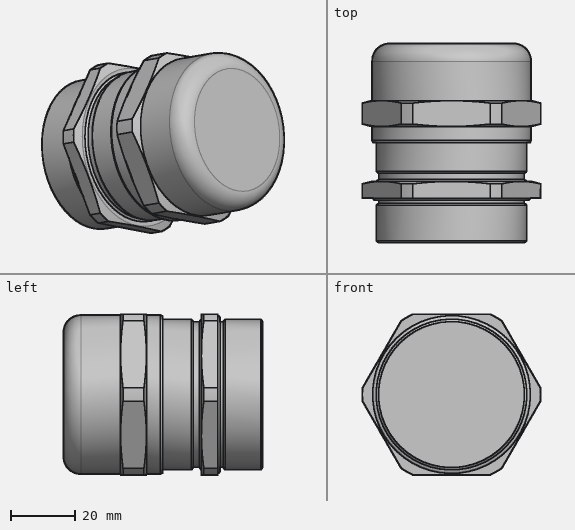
import cadquery as cq
import math


total_length = 61.96
across_flats = 50.0
hex_corner_diameter = 55.48
hex_chamfer_angle = 15.0
hex_face_diameter = 49.5
hex_sides = 6

thread_diameter = 46.85
neck_diameter = 45.33
thread_chamfer_length = 0.6
front_thread_length = 12.3
groove_start = 19.7
groove_end = 21.55

nut_start = 13.9
nut_end = 19.1
ring_outer_diameter = 49.1
ring_protrusion = 0.7

cap_diameter = 49.5
cap_start = 31.1
cap_chamfer_length = 0.7
cap_chamfer_depth = 0.35
cap_hex_start = 36.1
cap_hex_end = 44.2
dome_radius = 5.5


def cylinder(diameter, start, end):
    """Cylinder along the part axis between two Y positions."""
    disc = cq.Workplane("XZ", origin=(0, start, 0)).circle(diameter / 2)
    return disc.extrude(start - end)


def revolve(profile):
    """Solid of revolution about Y from a closed (radius, Y) profile."""
    return cq.Workplane("XY").polyline(profile).close().revolve(360, (0, 0, 0), (0, 1, 0))


def thread_section(start, end):
    """Thread-diameter cylinder whose two ends taper down to the neck diameter."""
    neck_radius = neck_diameter / 2
    thread_radius = thread_diameter / 2
    profile = [
        (0, start),
        (neck_radius, start),
        (thread_radius, start + thread_chamfer_length),
        (thread_radius, end - thread_chamfer_length),
        (neck_radius, end),
        (0, end),
    ]
    return revolve(profile)


def hexagon(start, end, chamfer_front):
    """Hexagon with turned corners, chamfered at the back and optionally at the front."""
    face_radius = hex_face_diameter / 2
    corner_radius = hex_corner_diameter / 2
    chamfer_length = (corner_radius - face_radius) * math.tan(math.radians(hex_chamfer_angle))

    point_diameter = across_flats / math.cos(math.pi / hex_sides)
    prism = cq.Workplane("XZ", origin=(0, start, 0)).polygon(hex_sides, point_diameter).extrude(start - end)

    profile = [(0, start)]
    if chamfer_front:
        profile += [(face_radius, start), (corner_radius, start + chamfer_length)]
    else:
        profile += [(corner_radius, start)]
    profile += [(corner_radius, end - chamfer_length), (face_radius, end), (0, end)]
    return prism.intersect(revolve(profile))


def make_body():
    """Threaded core: front thread, recessed necks and the section entering the cap."""
    core = cylinder(neck_diameter, 0, cap_start)
    front_thread = thread_section(0, front_thread_length)
    nut_seat = thread_section(groove_start - (nut_end - nut_start), groove_start)
    rear_section = thread_section(groove_end, cap_start + thread_chamfer_length)
    return core.union(front_thread).union(nut_seat).union(rear_section)


def make_nut():
    """Locknut with the round sealing ring that lies on the neck."""
    ring_section_radius = (ring_outer_diameter - neck_diameter) / 4
    ring_center_radius = ring_outer_diameter / 2 - ring_section_radius
    ring_center_y = nut_start - ring_protrusion + ring_section_radius
    ring_section = cq.Workplane("XY").center(ring_center_radius, ring_center_y).circle(ring_section_radius)
    ring = ring_section.revolve(360, (-ring_center_radius, 0, 0), (-ring_center_radius, 1, 0))
    return hexagon(nut_start, nut_end, chamfer_front=False).union(ring)


def make_cap():
    """Domed cap with its hexagon."""
    cap = cylinder(cap_diameter, cap_start, total_length)
    cap = cap.faces(">Y").edges().fillet(dome_radius)
    cap = cap.faces("<Y").edges().chamfer(cap_chamfer_length, cap_chamfer_depth)
    return cap.union(hexagon(cap_hex_start, cap_hex_end, chamfer_front=True))


result = make_body().union(make_nut()).union(make_cap())